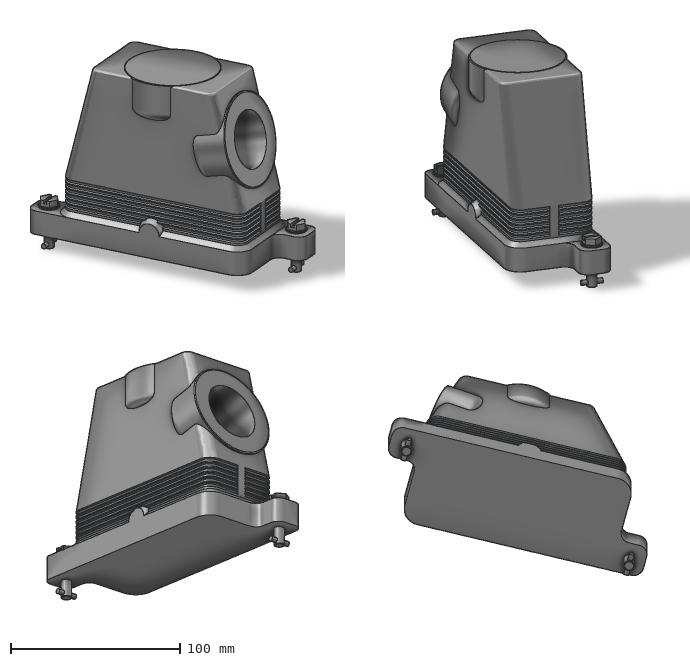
import cadquery as cq
import math

flange_half_x = 64.0
flange_half_y = 29.0
flange_corner = 10.4
flange_height = 15.0

ear_half_span = 82.5
ear_width = 19.8
ear_corner = 6.1

wall_inset = 3.0
wall_half_x = flange_half_x - wall_inset
wall_half_y = flange_half_y - wall_inset
wall_bottom = flange_height + wall_inset

band_top = 38.0
groove_count = 6
groove_mouth = 2.5
rib_width = 0.75
groove_pitch = groove_mouth + rib_width
groove_floor = 1.3
groove_depth = 1.0
band_strip_width = 5.6

tower_top = 111.2
end_slope = 15.0
tower_top_half_x = wall_half_x - (tower_top - band_top) * math.tan(math.radians(end_slope))
tower_top_corner = 5.0
tower_top_round = 1.5

boss_radius = flange_half_y
boss_length = 24.9
boss_rim_inset = 0.8
boss_rim_drop = 0.3
boss_inner_round = 6.5
side_boss_height = 75.7
top_boss_proud = 0.2
side_boss_proud = 1.3
entry_diameter = 35.5

lug_radius = 6.8
lug_flare = 30.0
lug_depth = wall_inset + groove_depth

screw_x = 72.8
screw_y = 19.1
shank_diameter = 6.3
shank_bottom = -10.9
shank_chamfer = 0.5
collar_diameter = 12.9
collar_thickness = 1.5
collar_chamfer = 0.5
head_height = 4.0
head_across_corners = 11.7
slot_width = 2.1
slot_depth = 2.0
cross_pin_diameter = 3.1
cross_pin_length = 13.4
cross_pin_z = -8.1


def rounded_section(half_x, half_y, corner):
    """Rectangle with rounded corners, centred on the Z axis."""
    return cq.Sketch().rect(2 * half_x, 2 * half_y).vertices().fillet(corner)


def rounded_block(z_bottom, bottom_size, z_top, top_size):
    """Solid running straight between two rounded rectangles given as (half_x, half_y, corner)."""
    return (
        cq.Workplane("XY", origin=(0, 0, z_bottom))
        .placeSketch(
            rounded_section(*bottom_size),
            rounded_section(*top_size).moved(cq.Location(cq.Vector(0, 0, z_top - z_bottom))),
        )
        .loft(ruled=True)
    )


def inset_size(inset):
    """Flange outline moved inwards by a constant distance."""
    return (flange_half_x - inset, flange_half_y - inset, flange_corner - inset)


def make_ear():
    """Ear on the (+X, +Y) corner of the flange."""
    inner_y = flange_half_y - ear_width
    return (
        cq.Workplane("XY")
        .moveTo(0, flange_half_y)
        .lineTo(ear_half_span - ear_corner, flange_half_y)
        .radiusArc((ear_half_span, flange_half_y - ear_corner), ear_corner)
        .lineTo(ear_half_span, inner_y + ear_corner)
        .radiusArc((ear_half_span - ear_corner, inner_y), ear_corner)
        .lineTo(flange_half_x + ear_corner, inner_y)
        .radiusArc((flange_half_x, inner_y - ear_corner), -ear_corner)
        .lineTo(0, inner_y - ear_corner)
        .close()
        .extrude(flange_height)
    )


def make_flange():
    """Flange with its two ears and the chamfer leading up to the wall."""
    flange = rounded_block(0, inset_size(0), flange_height, inset_size(0))
    chamfer = rounded_block(flange_height, inset_size(0), wall_bottom, inset_size(wall_inset))
    ear = make_ear()
    opposite_ear = ear.rotate((0, 0, 0), (0, 0, 1), 180)
    return flange.union(ear).union(opposite_ear).union(chamfer)


def make_groove(z_top):
    """Ring-shaped cutter with a trapezoidal section, open to the outside."""
    flank = (groove_mouth - groove_floor) / 2
    z_bottom = z_top - groove_mouth
    outside = inset_size(wall_inset)
    inside = inset_size(wall_inset + groove_depth)
    lower = rounded_block(z_bottom, outside, z_bottom + flank, inside)
    core = rounded_block(z_bottom + flank, inside, z_top - flank, inside)
    upper = rounded_block(z_top - flank, inside, z_top, outside)
    ring = rounded_block(z_bottom, inset_size(0), z_top, inset_size(0))
    return ring.cut(lower).cut(core).cut(upper)


def make_ribbed_band():
    """Upright wall with grooves all round, except for a smooth strip on each end."""
    band = rounded_block(wall_bottom, inset_size(wall_inset), band_top, inset_size(wall_inset))
    for index in range(groove_count):
        band = band.cut(make_groove(band_top - index * groove_pitch))
    strips = (
        cq.Workplane("XY", origin=(0, 0, wall_bottom))
        .rect(2 * wall_half_x, band_strip_width)
        .extrude(band_top - wall_bottom)
    )
    return band.union(strips)


def make_tower():
    """Upper hood: flat long sides, leaning ends and a rounded top edge."""
    top_size = (tower_top_half_x, wall_half_y, tower_top_corner)
    tower = rounded_block(band_top, inset_size(wall_inset), tower_top, top_size)
    return tower.faces(">Z").edges().fillet(tower_top_round)


def make_boss(face_plane):
    """Round boss whose flat bevelled face lies on the plane and whose body runs back into the hood."""
    rim_cone = cq.Solid.makeCone(
        boss_radius,
        boss_radius - boss_rim_inset,
        boss_rim_drop,
        pnt=cq.Vector(0, 0, -boss_rim_drop),
    )
    boss = (
        cq.Workplane("XY", origin=(0, 0, -boss_length))
        .circle(boss_radius)
        .extrude(boss_length - boss_rim_drop)
        .faces("<Z")
        .edges()
        .fillet(boss_inner_round)
        .union(cq.Workplane(rim_cone))
    )
    return cq.Workplane(boss.val().moved(face_plane.location))


def make_side_boss_plane():
    """Plane of the side boss face, parallel to the leaning +X end."""
    slope = math.radians(end_slope)
    end_x = wall_half_x - (side_boss_height - band_top) * math.tan(slope)
    face_x = end_x + side_boss_proud / math.cos(slope)
    return cq.Plane(
        origin=(face_x, 0, side_boss_height),
        xDir=(0, 1, 0),
        normal=(math.cos(slope), 0, math.sin(slope)),
    )


def make_lug(side):
    """Half-round lug standing on the flange; side is -1 for the -Y face and +1 for the +Y face."""
    root_radius = lug_radius + lug_depth * math.tan(math.radians(lug_flare))
    lug = cq.Solid.makeCone(
        lug_radius,
        root_radius,
        lug_depth,
        pnt=cq.Vector(0, side * flange_half_y, flange_height),
        dir=cq.Vector(0, -side, 0),
    )
    upper_half = (
        cq.Workplane("XY", origin=(0, 0, flange_height))
        .rect(4 * root_radius, 4 * flange_half_y)
        .extrude(2 * root_radius)
    )
    return upper_half.intersect(cq.Workplane(lug))


def make_housing(screw_places):
    """Hood with its flange, bosses, cable entry and two screw holes."""
    top_plane = cq.Plane(origin=(0, 0, tower_top + top_boss_proud))
    side_plane = make_side_boss_plane()
    housing = make_flange().union(make_ribbed_band())
    for side in (-1, 1):
        housing = housing.union(make_lug(side))
    housing = housing.union(make_tower()).union(make_boss(top_plane)).union(make_boss(side_plane))
    entry = cq.Workplane(side_plane).circle(entry_diameter / 2).extrude(-boss_length)
    housing = housing.cut(entry)
    for screw_place in screw_places:
        hole = cq.Workplane("XY").center(*screw_place).circle(shank_diameter / 2).extrude(flange_height)
        housing = housing.cut(hole)
    return housing


def make_screw(place):
    """Slotted hex screw with a collar, a plain shank and a cross pin through its lower end."""
    collar_top = flange_height + collar_thickness
    head_top = collar_top + head_height
    shank = (
        cq.Workplane("XY", origin=(0, 0, shank_bottom))
        .circle(shank_diameter / 2)
        .extrude(flange_height - shank_bottom)
        .faces("<Z")
        .chamfer(shank_chamfer)
    )
    collar = (
        cq.Workplane("XY", origin=(0, 0, flange_height))
        .circle(collar_diameter / 2)
        .extrude(collar_thickness)
        .edges()
        .chamfer(collar_chamfer)
    )
    head = cq.Workplane("XY", origin=(0, 0, collar_top)).polygon(6, head_across_corners).extrude(head_height)
    slot = (
        cq.Workplane("XY", origin=(0, 0, head_top))
        .rect(slot_width, head_across_corners)
        .extrude(-slot_depth)
    )
    cross_pin = (
        cq.Workplane("XZ", origin=(0, 0, cross_pin_z))
        .circle(cross_pin_diameter / 2)
        .extrude(cross_pin_length / 2, both=True)
    )
    screw = shank.union(collar).union(head.cut(slot)).union(cross_pin)
    return screw.translate((*place, 0))


screw_places = [(-screw_x, -screw_y), (screw_x, screw_y)]
housing = make_housing(screw_places)
screws = [make_screw(place) for place in screw_places]

result = cq.Compound.makeCompound([housing.val(), *[screw.val() for screw in screws]])